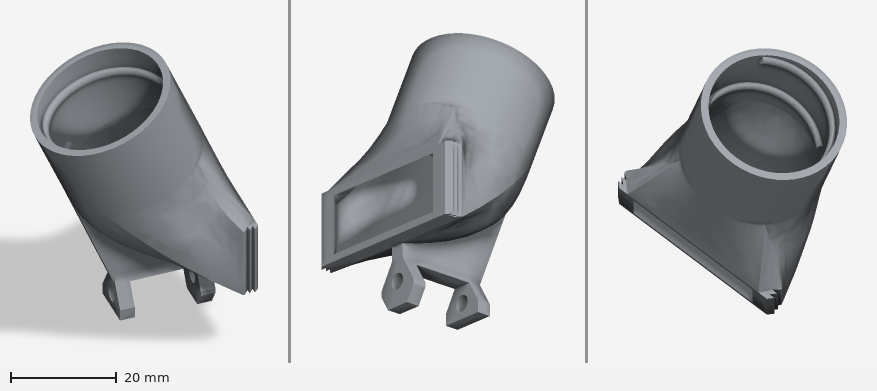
import cadquery as cq
import math

TILT = 22.5
OUTER_RADIUS = 28.5 / 2
BORE_RADIUS = 25.5 / 2
WALL = OUTER_RADIUS - BORE_RADIUS
SOCKET_LENGTH = 17.5
SOCKET_BASE = (0, -18.55, 35.7)

BEAD_RADIUS = 1.0
BEAD_PITCH = 10.0
BEAD_TURNS = 1.25
BEAD_TOP_DEPTH = 1.55
BEAD_TOP_ANGLE = -45

MOUTH_HALF_WIDTH = 18.6
MOUTH_SETBACK = 3.45
MOUTH_BEVEL_WIDTH = 3.0
MOUTH_BOTTOM = 12.5
MOUTH_TOP = 27.5

UPPER_EDGE_MID = (-13.65, -7.3, 32.95)
LOWER_EDGE_MID = (-15.4, -15.9, 21.5)
SIDE_BULGE = (-16.2, -12.95, 26.35)
KEEL_POINTS = [(-12.0, 14.85), (-19.75, 18.3), (-26.65, 23.05)]
KEEL_LEANS = [0, 0.5, 1]

BARB_HALF_WIDTH = 37.3 / 2
BARB_DEPTH = 1.25
BARB_PITCH = 1.05
BARB_COUNT = 3

WEB_WIDTH = 3.0
WEB_REAR = -3.6
WEB_FRONT = -23.0
WEB_OVERLAP = 0.05
WEB_BOTTOM = 8.65
FOOT_TOP = 10.55
FOOT_ARC_OFFSET = 0.1
LUG_THICKNESS = 3.0
LUG_HALF_WIDTH = 4.6
LUG_SHOULDER = 4.3
LUG_SLOPE = 60
FRONT_LUG_BOTTOM = 1.9
REAR_LUG_CHAMFER_TOP = 3.25
REAR_LUG_TIP_HALF_WIDTH = 2.7
PIN_DIAMETER = 3.25
PIN_HEIGHT = 5.1

tilt_sin = math.sin(math.radians(TILT))
tilt_cos = math.cos(math.radians(TILT))
socket_plane = cq.Plane(origin=SOCKET_BASE, xDir=(1, 0, 0), normal=(0, -tilt_sin, tilt_cos))


def mirrored(point):
    return cq.Vector(-point.x, point.y, point.z)


def line(start, end):
    return cq.Edge.makeLine(start, end)


def curve(*points):
    return cq.Edge.makeSpline(list(points))


def flat_face(*points):
    return cq.Face.makeFromWires(cq.Wire.makePolygon(list(points), close=True))


def duct(inset):
    """Solid blending the round socket into the mouth, moved inward by inset."""
    radius = OUTER_RADIUS - inset
    half_width = MOUTH_HALF_WIDTH - inset
    top = MOUTH_TOP - inset
    bottom = MOUTH_BOTTOM + inset

    def on_rim(angle):
        turn = math.radians(angle)
        return socket_plane.toWorldCoords((radius * math.cos(turn), radius * math.sin(turn), 0))

    def rim_arc(start, end):
        return cq.Edge.makeThreePointArc(on_rim(start), on_rim((start + end) / 2), on_rim(end))

    front_top = cq.Vector(MOUTH_BEVEL_WIDTH - half_width, 0, top)
    front_bottom = cq.Vector(MOUTH_BEVEL_WIDTH - half_width, 0, bottom)
    side_top = cq.Vector(-half_width, -MOUTH_SETBACK, top)
    side_bottom = cq.Vector(-half_width, -MOUTH_SETBACK, bottom)
    rim_rear = on_rim(135)
    rim_front = on_rim(225)

    upper_mid = cq.Vector(UPPER_EDGE_MID) + cq.Vector(inset, 0, -inset / 2)
    lower_mid = cq.Vector(LOWER_EDGE_MID) + cq.Vector(inset, 0, inset / 2)
    side_bulge = cq.Vector(SIDE_BULGE) + cq.Vector(inset, 0, 0)
    sill_mid = cq.Vector(0, -MOUTH_SETBACK, bottom)
    belly = [
        cq.Vector(0, y + lean * inset, z + inset)
        for (y, z), lean in zip(KEEL_POINTS, KEEL_LEANS)
    ]

    def side_faces(place):
        upper_edge = curve(place(side_top), place(upper_mid), place(rim_rear))
        lower_edge = curve(place(side_bottom), place(lower_mid), place(rim_front))
        rear_edge = line(place(front_top), place(rim_rear))
        mouth_corner = line(place(front_top), place(side_top))
        mouth_side = line(place(side_top), place(side_bottom))
        side_arc = (135, 225) if place(rim_rear).x < 0 else (45, -45)
        corner = cq.Face.makeNSidedSurface([rear_edge, mouth_corner, upper_edge], [])
        side = cq.Face.makeNSidedSurface(
            [upper_edge, mouth_side, lower_edge, rim_arc(*side_arc)], [place(side_bulge)]
        )
        chamfer = flat_face(place(front_top), place(side_top), place(side_bottom), place(front_bottom))
        return [corner, side, chamfer], lower_edge

    left_faces, left_lower = side_faces(lambda point: point)
    right_faces, right_lower = side_faces(mirrored)
    roof = cq.Face.makeRuledSurface(line(front_top, mirrored(front_top)), rim_arc(135, 45))
    keel = curve(sill_mid, *belly, on_rim(270))
    left_floor = cq.Face.makeNSidedSurface(
        [left_lower, line(side_bottom, sill_mid), keel, rim_arc(225, 270)], []
    )
    right_floor = cq.Face.makeNSidedSurface(
        [right_lower, line(mirrored(side_bottom), sill_mid), keel, rim_arc(315, 270)], []
    )
    mouth = flat_face(front_top, mirrored(front_top), mirrored(front_bottom), front_bottom)
    sill = flat_face(
        front_bottom, mirrored(front_bottom), mirrored(side_bottom), sill_mid, side_bottom
    )
    rim_angles = (45, 135, 225, 270, 315, 405)
    rim_arcs = [rim_arc(start, end) for start, end in zip(rim_angles, rim_angles[1:])]
    rim = cq.Face.makeFromWires(cq.Wire.assembleEdges(rim_arcs))
    faces = left_faces + right_faces + [roof, left_floor, right_floor, mouth, sill, rim]
    shell = cq.Shell.makeShell(faces)
    return cq.Workplane(cq.Solid.makeSolid(shell).fix())


def barbs(side):
    """Saw-tooth strip on one side of the mouth; side is +1 or -1."""
    root = BARB_HALF_WIDTH - BARB_DEPTH
    outline = [(MOUTH_HALF_WIDTH - MOUTH_BEVEL_WIDTH, 0), (BARB_HALF_WIDTH - BARB_PITCH, 0)]
    for index in range(1, BARB_COUNT + 1):
        outline.append((BARB_HALF_WIDTH, -index * BARB_PITCH))
        if index < BARB_COUNT:
            outline.append((root, -index * BARB_PITCH))
    outline.append((MOUTH_HALF_WIDTH, -MOUTH_SETBACK))
    outline.append((root - WALL, -MOUTH_SETBACK))
    outline.append((MOUTH_HALF_WIDTH - MOUTH_BEVEL_WIDTH - WALL, 0))
    return (
        cq.Workplane("XY", origin=(0, 0, MOUTH_BOTTOM))
        .polyline([(side * x, y) for x, y in outline])
        .close()
        .extrude(MOUTH_TOP - MOUTH_BOTTOM)
    )


def bead():
    """Helical bead, half sunk into the bore of the socket."""
    bottom_angle = math.radians(BEAD_TOP_ANGLE - 360 * BEAD_TURNS)
    height = BEAD_PITCH * BEAD_TURNS
    helix = cq.Wire.makeHelix(BEAD_PITCH, height, BORE_RADIUS)
    lead = BEAD_PITCH / (2 * math.pi)
    profile_plane = cq.Plane(origin=(BORE_RADIUS, 0, 0), xDir=(1, 0, 0), normal=(0, BORE_RADIUS, lead))
    local = cq.Workplane(profile_plane).circle(BEAD_RADIUS).sweep(cq.Workplane(helix), isFrenet=True)
    lift = SOCKET_LENGTH - BEAD_TOP_DEPTH - height
    placed = local.rotate((0, 0, 0), (0, 0, 1), math.degrees(bottom_angle)).translate((0, 0, lift))
    return cq.Workplane(placed.val().moved(cq.Location(socket_plane)))


def mirrored_profile(half_outline, front, length):
    """Prism of a half outline in XZ and its mirror image, running from front toward +Y."""
    outline = half_outline + [(-x, z) for x, z in reversed(half_outline)]
    return cq.Workplane("XZ", origin=(0, front, 0)).polyline(outline).close().extrude(-length)


def web():
    low_rim = socket_plane.toWorldCoords((0, WEB_OVERLAP - OUTER_RADIUS, -WEB_OVERLAP))
    inner_end = socket_plane.toWorldCoords((0, -BORE_RADIUS / 2, -WALL))
    outline = [
        (WEB_REAR, WEB_BOTTOM),
        (WEB_FRONT, WEB_BOTTOM),
        (low_rim.y, low_rim.z),
        (inner_end.y, inner_end.z),
        (WEB_REAR, MOUTH_BOTTOM + 2 * WALL),
    ]
    return cq.Workplane("YZ").polyline(outline).close().extrude(WEB_WIDTH / 2, both=True)


def hinge():
    """Filleted foot of the web with the two pin lugs."""
    shoulder = (LUG_HALF_WIDTH, LUG_SHOULDER)
    slope = math.tan(math.radians(LUG_SLOPE))
    foot_half_width = LUG_HALF_WIDTH - (WEB_BOTTOM - LUG_SHOULDER) / slope
    lug_top = (foot_half_width, WEB_BOTTOM)
    fillet_middle = (WEB_WIDTH / 2 + FOOT_ARC_OFFSET, (WEB_BOTTOM + FOOT_TOP) / 2)
    foot = (
        cq.Workplane("XZ", origin=(0, WEB_FRONT, 0))
        .moveTo(-foot_half_width, WEB_BOTTOM)
        .lineTo(foot_half_width, WEB_BOTTOM)
        .threePointArc(fillet_middle, (WEB_WIDTH / 2, FOOT_TOP))
        .lineTo(-WEB_WIDTH / 2, FOOT_TOP)
        .threePointArc((-fillet_middle[0], fillet_middle[1]), (-foot_half_width, WEB_BOTTOM))
        .close()
        .extrude(WEB_FRONT - WEB_REAR)
    )
    front_lug = mirrored_profile(
        [lug_top, shoulder, (LUG_HALF_WIDTH, FRONT_LUG_BOTTOM)], WEB_FRONT, LUG_THICKNESS
    )
    rear_lug = mirrored_profile(
        [lug_top, shoulder, (LUG_HALF_WIDTH, REAR_LUG_CHAMFER_TOP), (REAR_LUG_TIP_HALF_WIDTH, 0)],
        WEB_REAR - LUG_THICKNESS,
        LUG_THICKNESS,
    )
    pin_hole = (
        cq.Workplane("XZ", origin=(0, WEB_FRONT, 0))
        .center(0, PIN_HEIGHT)
        .circle(PIN_DIAMETER / 2)
        .extrude(WEB_FRONT - WEB_REAR)
    )
    return foot.union(front_lug).union(rear_lug).cut(pin_hole)


socket = cq.Workplane(socket_plane).circle(OUTER_RADIUS).extrude(SOCKET_LENGTH)
bore = cq.Workplane(socket_plane).circle(BORE_RADIUS).extrude(SOCKET_LENGTH)

body = duct(0).union(socket).union(web()).union(barbs(1)).union(barbs(-1))
body = body.cut(duct(WALL)).cut(bore)
result = body.union(hinge()).union(bead())